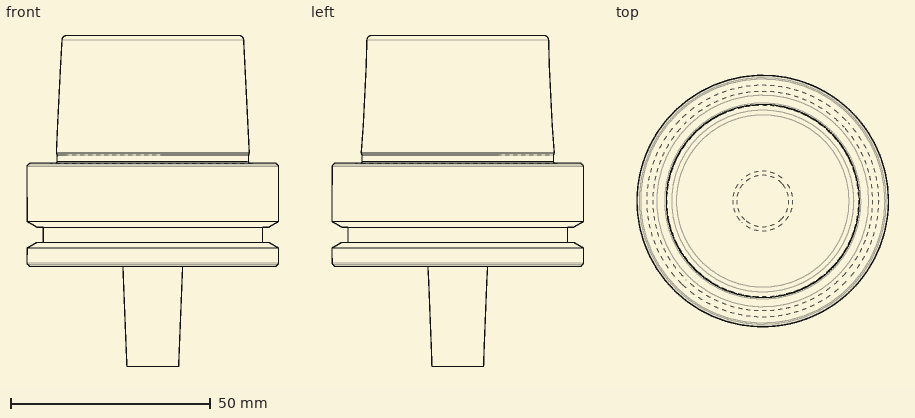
import cadquery as cq
import math


taper_top_z = 31.9
taper_base_z = 2.5
gauge_z = 6.3
gauge_radius = 24.0
taper_slope = 0.05
top_round = 1.2

neck_radius = 24.0
neck_chamfer_height = 0.6
dish_radius = 26.5
dish_angle = math.radians(6)
dish_depth = (dish_radius - neck_radius) * math.tan(dish_angle)
foot_round = 0.5

flange_radius = 31.5
flange_thickness = 26.0
flange_bottom_z = -flange_thickness
rim_chamfer = 0.75
rim_round = 0.5

groove_center_z = -18.0
groove_floor_radius = 27.5
groove_floor_width = 3.75
groove_mouth_width = 6.6
groove_flank_angle = math.radians(30)

shank_length = 25.0
shank_top_radius = 7.5
shank_end_radius = 6.5
shank_end_z = flange_bottom_z - shank_length


def revolve_outline(points):
    """Revolve a closed outline of (radius, z) points about the Z axis."""
    return cq.Workplane("XZ").polyline(points).close().revolve(360, (0, 0, 0), (0, 1, 0))


def taper_radius(z):
    """Radius of the locating taper at height z."""
    return gauge_radius - (z - gauge_z) * taper_slope


def make_flange():
    """Plain disc with chamfered and softened rims."""
    disc = (
        cq.Workplane("XY")
        .workplane(offset=flange_bottom_z)
        .circle(flange_radius)
        .extrude(flange_thickness)
    )
    chamfered = disc.edges("%CIRCLE").chamfer(rim_chamfer)
    return chamfered.edges("%CIRCLE").fillet(rim_round)


def make_dish():
    """Cutter for the conical dish in the upper face of the flange."""
    return revolve_outline([
        (0, 0),
        (0, -dish_depth),
        (neck_radius, -dish_depth),
        (dish_radius, 0),
    ])


def make_groove():
    """Ring-shaped cutter for the groove round the flange."""
    half_floor = groove_floor_width / 2
    half_mouth = groove_mouth_width / 2
    flank_depth = (half_mouth - half_floor) / math.tan(groove_flank_angle)
    flank_inner_radius = flange_radius - flank_depth
    return revolve_outline([
        (groove_floor_radius, groove_center_z - half_floor),
        (flank_inner_radius, groove_center_z - half_floor),
        (flange_radius, groove_center_z - half_mouth),
        (flange_radius, groove_center_z + half_mouth),
        (flank_inner_radius, groove_center_z + half_floor),
        (groove_floor_radius, groove_center_z + half_floor),
    ])


def make_taper():
    """Neck and locating taper, rounded at the upper rim."""
    body = revolve_outline([
        (0, -dish_depth),
        (neck_radius, -dish_depth),
        (neck_radius, taper_base_z - neck_chamfer_height),
        (taper_radius(taper_base_z), taper_base_z),
        (taper_radius(taper_top_z), taper_top_z),
        (0, taper_top_z),
    ])
    return body.faces(">Z").edges().fillet(top_round)


def make_shank():
    """Slender cone hanging from the underside of the flange."""
    return revolve_outline([
        (0, shank_end_z),
        (shank_end_radius, shank_end_z),
        (shank_top_radius, flange_bottom_z),
        (0, flange_bottom_z),
    ])


def round_neck_foot(body):
    """Fillet the circle where the neck meets the bottom of the dish."""
    half_height = dish_depth / 2
    lower_corner = (-dish_radius, -dish_radius, -dish_depth - half_height)
    upper_corner = (dish_radius, dish_radius, -dish_depth + half_height)
    foot_box = cq.selectors.BoxSelector(lower_corner, upper_corner, boundingbox=True)
    return body.edges(foot_box).fillet(foot_round)


flange = make_flange().cut(make_dish()).cut(make_groove())
result = round_neck_foot(flange.union(make_taper()).union(make_shank()))